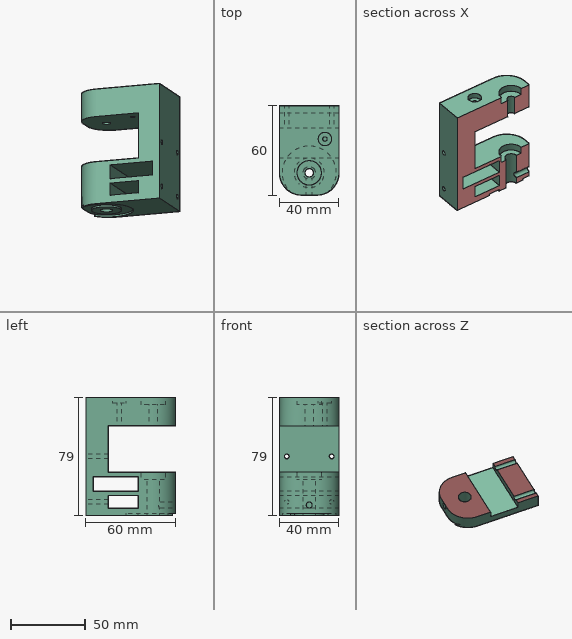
import cadquery as cq

width = 40.0
depth = 60.0
height = 79.0
corner_radius = 15.0

back_wall = 15.0
lower_arm = 29.0
upper_arm = 19.0
upper_arm_bottom = height - upper_arm

pivot_y = corner_radius - depth
pivot_seat_diameter = 16.3
pivot_seat_depth = 5.0
upper_bore_diameter = 5.5
lower_bore_diameter = 8.3

screw_x = 10.5
screw_y = -22.35
screw_diameter = 3.0
screw_head_diameter = 9.0
screw_head_depth = 3.7

slot_front = 35.0
upper_slot_back = 5.0
upper_slot_bottom = 16.35
upper_slot_height = 9.5
lower_slot_bottom = 5.0
lower_slot_height = 8.3

wall_hole_diameter = screw_diameter
wall_hole_offset = 15.0
mouth_hole_z = 39.5
slot_hole_z = lower_slot_bottom + lower_slot_height / 2

radial_hole_diameter = 4.0
radial_hole_z = 7.0

ring_outer_diameter = 36.0
ring_inner_diameter = 20.0
ring_depth = 1.3


def vertical_cylinder(x, y, diameter, bottom, top):
    return cq.Workplane("XY", origin=(x, y, bottom)).circle(diameter / 2).extrude(top - bottom)


def cross_box(front, back, bottom, top):
    """Box across the full width, with front and back as distances from the back face."""
    return cq.Workplane("XY").box(width, front - back, top - bottom).translate(
        (0, -(front + back) / 2, (bottom + top) / 2)
    )


def front_hole(x, z, diameter, start_y, length):
    """Hole running towards -Y from start_y."""
    return cq.Workplane("XZ", origin=(x, start_y, z)).circle(diameter / 2).extrude(length)


result = cross_box(depth, 0, 0, height).edges("|Z and <Y").fillet(corner_radius)
result = result.cut(cross_box(depth, back_wall, lower_arm, upper_arm_bottom))

result = result.cut(
    cross_box(slot_front, upper_slot_back, upper_slot_bottom, upper_slot_bottom + upper_slot_height)
)
result = result.cut(
    cross_box(slot_front, back_wall, lower_slot_bottom, lower_slot_bottom + lower_slot_height)
)

for bore_diameter, bottom, top in (
    (lower_bore_diameter, 0, lower_arm),
    (upper_bore_diameter, upper_arm_bottom, height),
):
    result = result.cut(vertical_cylinder(0, pivot_y, bore_diameter, bottom, top))
    result = result.cut(vertical_cylinder(0, pivot_y, pivot_seat_diameter, top - pivot_seat_depth, top))

result = result.cut(vertical_cylinder(screw_x, screw_y, screw_diameter, upper_arm_bottom, height))
result = result.cut(
    vertical_cylinder(screw_x, screw_y, screw_head_diameter, height - screw_head_depth, height)
)

for x in (-wall_hole_offset, wall_hole_offset):
    for z in (mouth_hole_z, slot_hole_z):
        result = result.cut(front_hole(x, z, wall_hole_diameter, 0, back_wall))

result = result.cut(front_hole(0, radial_hole_z, radial_hole_diameter, pivot_y, depth + pivot_y))

ring = vertical_cylinder(0, pivot_y, ring_outer_diameter, 0, ring_depth).cut(
    vertical_cylinder(0, pivot_y, ring_inner_diameter, 0, ring_depth)
)
result = result.cut(ring)